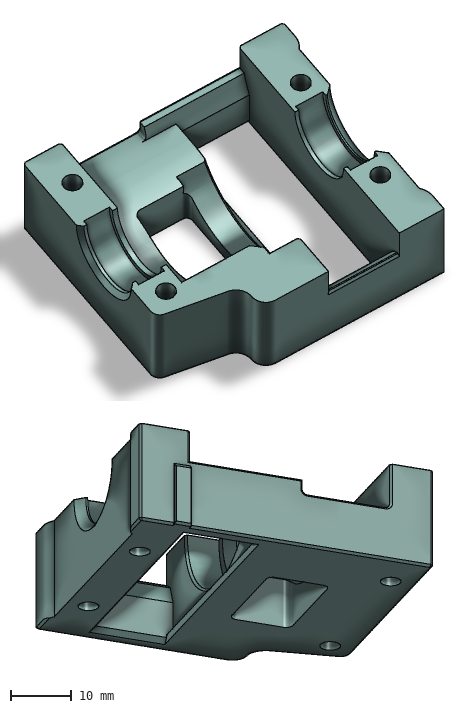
import cadquery as cq
import math


left_x = -23.55
right_x = 23.35
body_length = 51.88
bottom_z = -17.41
edge_chamfer = 0.4
flank_angle = math.radians(10)
front_corner_radius = 1.9
shoulder_radius = 2.85
shoulder_y = 15.45
hollow_radius = 3.1
rear_recess_depth = 0.95
rear_recess_half_width = 17.5
rear_recess_radius = 4.0

front_wall_y = 7.6
block_rear_y = 28.85
rear_wall_y = 42.95
rear_face_y = body_length - rear_recess_depth

opening_left_x = -20.4
opening_right_x = 20.2
opening_front_y = 30.0
ledge_z = -16.0
clearance_radius = 22.55
left_wall_top_z = -5.35
right_wall_top_z = -5.9
right_wall_rim_x = 22.7
right_wall_slope_x = 21.5
opening_side_chamfer = 0.9

seat_radius = 8.0
lip_radius = 7.1
front_lip_chamfer = 0.9
rear_lip_chamfer = 1.5
front_seat = (1.5, 6.6)
rear_seat = (43.7, 49.1)
main_bore_radius = 11.6
rear_bore_radius = 14.8
rear_bore_front_y = 22.9
cone_front_y = 21.1
cone_rear_radius = 13.25

pocket_rear_y = 23.05
floor_z = -7.9
floor_curve_start_x = -17.1
floor_end_x = -5.05
pocket_fillet = 0.9

window_left_x = -10.25
window_right_x = 7.6
window_front_y = 13.1
window_rear_y = 23.9
window_corner_radius = 1.2

hole_diameter = 3.4
front_hole_y = 4.45
rear_hole_y = 47.2
hole_points = [
    (-15.65, front_hole_y),
    (11.65, front_hole_y),
    (-11.6, rear_hole_y),
    (11.6, rear_hole_y),
]

rib_left_x = -24.25
rib_rear_y = 45.85
rib_top_z = -6.3
rib_chamfer = 0.2

margin = 1.0


def block(x0, x1, y0, y1, z0, z1):
    """Box between two opposite corners."""
    return cq.Workplane("XY").box(x1 - x0, y1 - y0, z1 - z0, centered=False).translate((x0, y0, z0))


def turned(points):
    """Solid of revolution about the shaft axis from (radius, y) points."""
    return cq.Workplane("XY").polyline(points).close().revolve(360, (0, 0, 0), (0, 1, 0))


def shaft_cylinder(radius, y0, y1):
    return turned([(0, y0), (radius, y0), (radius, y1), (0, y1)])


def make_body():
    """Solid outer body with its right side outline, corner breaks and bottom chamfer."""
    shoulder_x = right_x - shoulder_radius
    hollow_end_x = shoulder_x - hollow_radius * math.cos(flank_angle)
    hollow_end_y = shoulder_y - hollow_radius * (1 - math.sin(flank_angle))
    hollow_mid_angle = (math.pi / 2 + math.pi - flank_angle) / 2
    hollow_mid = (
        shoulder_x + hollow_radius * math.cos(hollow_mid_angle),
        shoulder_y - hollow_radius + hollow_radius * math.sin(hollow_mid_angle),
    )
    shoulder_mid = (
        shoulder_x + shoulder_radius * math.sin(math.pi / 4),
        shoulder_y + shoulder_radius * (1 - math.cos(math.pi / 4)),
    )
    flank_foot_x = hollow_end_x - hollow_end_y * math.tan(flank_angle)
    body = (
        cq.Workplane("XY", origin=(0, 0, bottom_z))
        .moveTo(left_x, 0)
        .lineTo(flank_foot_x, 0)
        .lineTo(hollow_end_x, hollow_end_y)
        .threePointArc(hollow_mid, (shoulder_x, shoulder_y))
        .threePointArc(shoulder_mid, (right_x, shoulder_y + shoulder_radius))
        .lineTo(right_x, body_length)
        .lineTo(left_x, body_length)
        .close()
        .extrude(-bottom_z)
    )
    front_corner = cq.selectors.NearestToPointSelector((flank_foot_x, 0, bottom_z / 2))
    body = body.edges("|Z").edges(front_corner).fillet(front_corner_radius)
    body = body.edges("|Z and <X").chamfer(edge_chamfer)
    return body.faces("<Z").edges().chamfer(edge_chamfer)


def rear_recess():
    """Shallow full-height recess in the rear face, its ends blended by arcs."""
    recess_arc_angle = math.acos(1 - rear_recess_depth / rear_recess_radius)
    recess_outer_x = rear_recess_half_width + rear_recess_radius * math.sin(recess_arc_angle)
    recess_mid_x = recess_outer_x - rear_recess_radius * math.sin(recess_arc_angle / 2)
    recess_mid_y = body_length - rear_recess_radius * (1 - math.cos(recess_arc_angle / 2))
    return (
        cq.Workplane("XY", origin=(0, 0, bottom_z - margin))
        .moveTo(recess_outer_x, body_length)
        .threePointArc((recess_mid_x, recess_mid_y), (rear_recess_half_width, rear_face_y))
        .lineTo(-rear_recess_half_width, rear_face_y)
        .threePointArc((-recess_mid_x, recess_mid_y), (-recess_outer_x, body_length))
        .close()
        .extrude(2 * margin - bottom_z)
    )


def opening_chamfers():
    """Flared mouth of the rear opening: bottom edges broken at both sides and at the rear wall."""
    flare_top_z = bottom_z + opening_side_chamfer
    flare_left_x = opening_left_x - opening_side_chamfer
    flare_right_x = opening_right_x + opening_side_chamfer
    flare_rear_y = rear_wall_y + edge_chamfer
    across = (
        cq.Workplane("XZ", origin=(0, flare_rear_y, 0))
        .polyline([
            (flare_left_x, bottom_z),
            (flare_right_x, bottom_z),
            (opening_right_x, flare_top_z),
            (opening_left_x, flare_top_z),
        ])
        .close()
        .extrude(flare_rear_y - opening_front_y)
    )
    along = (
        cq.Workplane("YZ", origin=(flare_left_x, 0, 0))
        .polyline([
            (opening_front_y, bottom_z),
            (flare_rear_y, bottom_z),
            (rear_wall_y, bottom_z + edge_chamfer),
            (rear_wall_y, flare_top_z),
            (opening_front_y, flare_top_z),
        ])
        .close()
        .extrude(flare_right_x - flare_left_x)
    )
    return across.intersect(along)


def rear_cavity():
    """Space between the block and the rear wall, open at the bottom behind a low ledge."""
    upper = block(opening_left_x, opening_right_x, block_rear_y, rear_wall_y, ledge_z, margin)
    through = block(
        opening_left_x, opening_right_x, opening_front_y, rear_wall_y, bottom_z - margin, margin
    )
    swing = shaft_cylinder(clearance_radius, block_rear_y, rear_wall_y).intersect(
        block(2 * left_x, 2 * right_x, block_rear_y, rear_wall_y, ledge_z, margin)
    )
    slope_z = -math.sqrt(clearance_radius**2 - right_wall_slope_x**2)
    right_rim = (
        cq.Workplane("XZ", origin=(0, rear_wall_y, 0))
        .polyline([
            (0, slope_z),
            (right_wall_slope_x, slope_z),
            (right_wall_rim_x, right_wall_top_z),
            (right_x - edge_chamfer, right_wall_top_z),
            (right_x, right_wall_top_z - edge_chamfer),
            (right_x + margin, right_wall_top_z - edge_chamfer),
            (right_x + margin, margin),
            (0, margin),
        ])
        .close()
        .extrude(rear_wall_y - block_rear_y)
    )
    return upper.union(through).union(swing).union(right_rim).union(opening_chamfers())


def floor_prism(y0, y1):
    """Space above the pocket floor: flat at the left, then curving down to the main bore."""
    run = floor_end_x - floor_curve_start_x
    end_z = -math.sqrt(main_bore_radius**2 - floor_end_x**2)
    return (
        cq.Workplane("XZ", origin=(0, y1, 0))
        .moveTo(left_x - margin, margin)
        .lineTo(left_x - margin, floor_z)
        .lineTo(floor_curve_start_x, floor_z)
        .tangentArcPoint((run, end_z - floor_z))
        .lineTo(floor_end_x, margin)
        .close()
        .extrude(y1 - y0)
    )


def side_pocket():
    """Pocket open to the left side, its floor filleted into both end walls."""
    pocket = floor_prism(front_wall_y, pocket_rear_y)
    floor_ends = cq.selectors.BoxSelector(
        (left_x - 2 * margin, 0, bottom_z), (floor_end_x - margin, body_length, floor_z + margin)
    )
    pocket = pocket.faces("<Y or >Y").edges(floor_ends).fillet(pocket_fillet)
    rear_part = floor_prism(pocket_rear_y - pocket_fillet, block_rear_y).intersect(
        shaft_cylinder(clearance_radius, 0, body_length)
    )
    left_wall_cut = block(
        left_x - margin, opening_left_x, pocket_rear_y - pocket_fillet, rear_wall_y,
        left_wall_top_z, margin,
    )
    return pocket.union(rear_part).union(left_wall_cut)


def chamfer_left_rim(body):
    """Break the outer edge of the left wall along the pocket and the lowered wall top."""
    rim = cq.selectors.BoxSelector(
        (left_x - edge_chamfer / 2, front_wall_y - edge_chamfer, floor_z - edge_chamfer),
        (left_x + edge_chamfer / 2, rear_wall_y + edge_chamfer, -edge_chamfer),
    )
    return body.edges(rim).chamfer(edge_chamfer)


def block_bores():
    """Stepped bore through the block with a cone between its diameters, sparing the pocket fillet."""
    rear_edge_y = block_rear_y - edge_chamfer
    bores = turned([
        (0, front_wall_y),
        (main_bore_radius, front_wall_y),
        (main_bore_radius, cone_front_y),
        (cone_rear_radius, rear_bore_front_y),
        (rear_bore_radius, rear_bore_front_y),
        (rear_bore_radius, rear_edge_y),
        (rear_bore_radius + edge_chamfer, block_rear_y),
        (0, block_rear_y),
    ])
    fillet_zone = block(
        left_x, floor_end_x, front_wall_y, front_wall_y + pocket_fillet, bottom_z, margin
    )
    return bores.cut(fillet_zone)


def shaft_seat(outer_y, inner_y, seat, lip_chamfer):
    """Bearing seat in a wall, between two lips; the outer lip is chamfered."""
    inward = math.copysign(1, inner_y - outer_y)
    seat_outer_y, seat_inner_y = seat
    return turned([
        (0, outer_y),
        (lip_radius + lip_chamfer, outer_y),
        (lip_radius, outer_y + inward * lip_chamfer),
        (lip_radius, seat_outer_y),
        (seat_radius, seat_outer_y),
        (seat_radius, seat_inner_y),
        (lip_radius, seat_inner_y),
        (lip_radius, inner_y),
        (0, inner_y),
    ])


def window():
    opening = block(
        window_left_x, window_right_x, window_front_y, window_rear_y, bottom_z - margin, floor_z
    )
    return opening.edges("|Z").fillet(window_corner_radius)


def screw_holes():
    return (
        cq.Workplane("XY", origin=(0, 0, bottom_z - margin))
        .pushPoints(hole_points)
        .circle(hole_diameter / 2)
        .extrude(-bottom_z + 2 * margin)
    )


def side_rib():
    rib = block(rib_left_x, left_x + margin, rear_wall_y, rib_rear_y, bottom_z, rib_top_z)
    rib = rib.edges("<X and >Z").chamfer(left_x - rib_left_x)
    rib = rib.edges("<X and |Z").chamfer(rib_chamfer)
    return rib.faces("<Z").edges("<X").chamfer(edge_chamfer)


result = make_body().cut(rear_recess()).cut(rear_cavity()).cut(side_pocket())
result = chamfer_left_rim(result)
result = result.cut(block_bores())
result = result.cut(shaft_seat(0, front_wall_y, front_seat, front_lip_chamfer))
result = result.cut(shaft_seat(rear_face_y, rear_wall_y, rear_seat[::-1], rear_lip_chamfer))
result = result.cut(window()).cut(screw_holes()).union(side_rib())